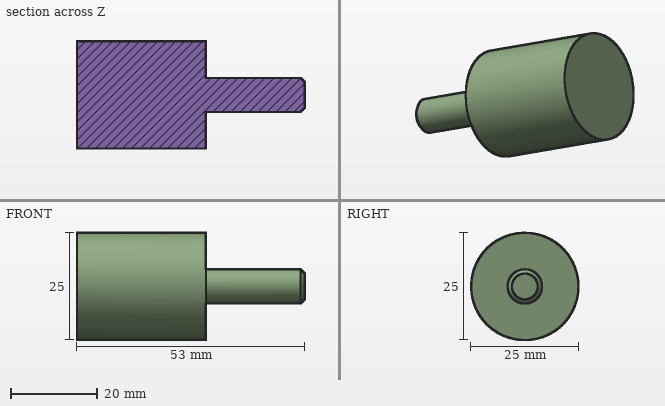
import cadquery as cq

body_diameter = 25.0
body_length = 30.0

stud_diameter = 8.0
stud_length = 23.0
tip_chamfer = 1.0


def make_body():
    """Plain cylinder from X = 0 to X = body_length."""
    return cq.Workplane("YZ").circle(body_diameter / 2).extrude(body_length)


def make_stud():
    """Coaxial stud with a chamfered free end."""
    base = cq.Workplane("YZ", origin=(body_length, 0, 0))
    stud = base.circle(stud_diameter / 2).extrude(stud_length)
    return stud.faces(">X").chamfer(tip_chamfer)


result = make_body().union(make_stud())